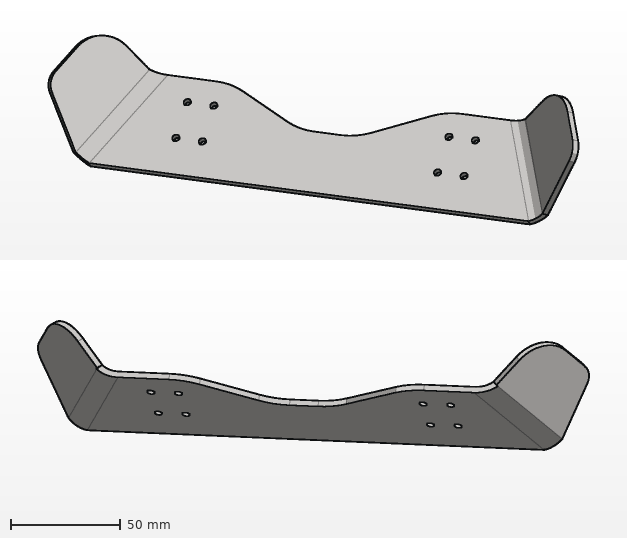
import cadquery as cq
import math

thickness = 3.0
web_depth = 50.8
tilt_angle = math.radians(40)

bend_front_x = 107.6
bend_skew = math.radians(25)
bend_angle = math.radians(45)
bend_radius = 10.5

relief_floor_depth = 31.6
relief_top_half_width = 52.7
relief_floor_half_width = 14.0
relief_radius = 31

wing_reach = 32.5
wing_front_slope = math.radians(23.7)
wing_front_radius = 9.0
wing_back_radius = 16.9

hole_diameter = 3.5
hole_group_x = 64.0
hole_group_y = 28.5
hole_spacing_x = 13
hole_spacing_y = 19.2

along_bend = cq.Vector(math.sin(bend_skew), math.cos(bend_skew), 0)
across_bend = cq.Vector(-math.cos(bend_skew), math.sin(bend_skew), 0)
up = cq.Vector(0, 0, 1)
bend_start = cq.Vector(-bend_front_x, 0, 0)


def make_web():
    back_half_width = bend_front_x - web_depth * math.tan(bend_skew)
    web = (
        cq.Workplane("XY")
        .polyline([
            (-bend_front_x, 0),
            (bend_front_x, 0),
            (back_half_width, web_depth),
            (relief_top_half_width, web_depth),
            (relief_floor_half_width, relief_floor_depth),
            (-relief_floor_half_width, relief_floor_depth),
            (-relief_top_half_width, web_depth),
            (-back_half_width, web_depth),
        ])
        .close()
        .extrude(-thickness)
    )
    relief_zone = cq.selectors.BoxSelector(
        (-relief_top_half_width - 2.5, relief_floor_depth - 2.5, -thickness),
        (relief_top_half_width + 2.5, web_depth + 2.5, 0),
    )
    web = web.edges("|Z").edges(relief_zone).fillet(relief_radius)
    hole_centers = [
        (side * hole_group_x + dx * hole_spacing_x / 2, hole_group_y + dy * hole_spacing_y / 2)
        for side in (-1, 1)
        for dx in (-1, 1)
        for dy in (-1, 1)
    ]
    holes = cq.Workplane("XY").pushPoints(hole_centers).circle(hole_diameter / 2).extrude(-thickness)
    return web.cut(holes)


def make_left_bend():
    def arc_point(radius, angle):
        return (radius * math.sin(angle), bend_radius - radius * math.cos(angle))

    outer_radius = bend_radius + thickness
    section_plane = cq.Plane(bend_start, across_bend, along_bend)
    bend = (
        cq.Workplane(section_plane)
        .moveTo(0, 0)
        .threePointArc(arc_point(bend_radius, bend_angle / 2), arc_point(bend_radius, bend_angle))
        .lineTo(*arc_point(outer_radius, bend_angle))
        .threePointArc(arc_point(outer_radius, bend_angle / 2), arc_point(outer_radius, 0))
        .close()
        .extrude(2 * web_depth)
    )
    trim_size = 4 * bend_front_x
    web_strip = cq.Workplane("XY").box(trim_size, trim_size, trim_size)
    return bend.intersect(web_strip.translate((0, web_depth - trim_size / 2, 0)))


def make_left_wing():
    bend_run = bend_radius * math.sin(bend_angle)
    bend_rise = bend_radius * (1 - math.cos(bend_angle))
    outward = across_bend * math.cos(bend_angle) + up * math.sin(bend_angle)
    origin = bend_start + across_bend * bend_run + up * bend_rise
    wing_plane = cq.Plane(origin, outward, outward.cross(along_bend))

    root_back = web_depth / math.cos(bend_skew) - bend_run * math.tan(bend_skew)
    tip_front = wing_reach * math.tan(wing_front_slope)
    wing = (
        cq.Workplane(wing_plane)
        .polyline([
            (0, 0),
            (wing_reach, tip_front),
            (wing_reach, root_back),
            (0, root_back),
        ])
        .close()
        .extrude(thickness)
    )

    def tip_corner(y):
        return cq.selectors.NearestToPointSelector(
            wing_plane.toWorldCoords((wing_reach, y, thickness / 2)).toTuple()
        )

    wing = wing.edges(tip_corner(tip_front)).fillet(wing_front_radius)
    return wing.edges(tip_corner(root_back)).fillet(wing_back_radius)


left_end = make_left_bend().union(make_left_wing())
right_end = left_end.mirror("YZ")
flat_web_part = make_web().union(left_end).union(right_end)
result = flat_web_part.rotate((0, 0, 0), (1, 0, 0), math.degrees(tilt_angle))